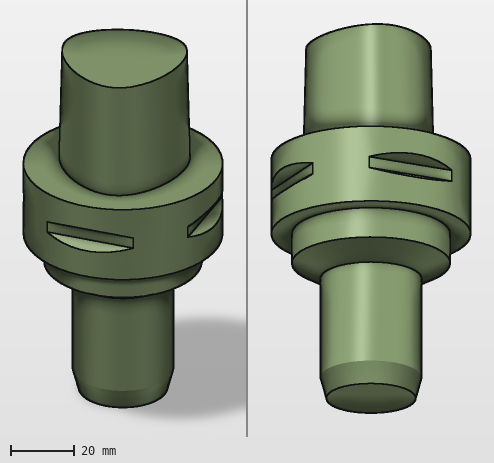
import cadquery as cq
import math

NOSE_CHAMFER_HEIGHT = 7.0
NECK_TOP = 40.0
FLANGE_BOTTOM = 55.0
FLANGE_TOP = 80.0
SHANK_HEIGHT = 38.0

NECK_DIAMETER = 32.0
COLLAR_DIAMETER = 50.0
FLANGE_DIAMETER = 63.0

NOSE_CHAMFER_ANGLE = 15.0
COLLAR_CONE_ANGLE = 30.0

SHANK_BASE_RADIUS = 20.6
SHANK_TAPER = 1 / 20
LOBE_AMPLITUDE = 1.7
LOBE_FLATTENING = 0.3
SHANK_POINT_COUNT = 48

GROOVE_COUNT = 4
GROOVE_FIRST_ANGLE = 45.0
GROOVE_FLOOR_DISTANCE = 27.9
GROOVE_FLOOR_WIDTH = 3.6
GROOVE_FLANK_ANGLE = 30.0
GROOVE_BELOW_FLANGE_TOP = 12.0
GROOVE_OVERCUT = 2.0


def make_body():
    """Revolved nose, neck, collar and flange."""
    neck_radius = NECK_DIAMETER / 2
    collar_radius = COLLAR_DIAMETER / 2
    flange_radius = FLANGE_DIAMETER / 2
    nose_radius = neck_radius - NOSE_CHAMFER_HEIGHT * math.tan(math.radians(NOSE_CHAMFER_ANGLE))
    cone_height = (collar_radius - neck_radius) * math.tan(math.radians(COLLAR_CONE_ANGLE))
    profile = [
        (0, 0),
        (nose_radius, 0),
        (neck_radius, NOSE_CHAMFER_HEIGHT),
        (neck_radius, NECK_TOP),
        (collar_radius, NECK_TOP + cone_height),
        (collar_radius, FLANGE_BOTTOM),
        (flange_radius, FLANGE_BOTTOM),
        (flange_radius, FLANGE_TOP),
        (0, FLANGE_TOP),
    ]
    return cq.Workplane("XZ").polyline(profile).close().revolve(360, (0, 0), (0, 1))


def shank_section(mean_radius, z):
    """Closed three-lobed curve at height z, with its seam on the -Y side."""

    def point(angle):
        x = (
            mean_radius * math.sin(angle)
            - LOBE_AMPLITUDE * math.sin(2 * angle)
            - LOBE_FLATTENING * math.sin(4 * angle)
        )
        y = (
            mean_radius * math.cos(angle)
            + LOBE_AMPLITUDE * math.cos(2 * angle)
            - LOBE_FLATTENING * math.cos(4 * angle)
        )
        return cq.Vector(x, y, z)

    step = 2 * math.pi / SHANK_POINT_COUNT
    points = [point(math.pi + i * step) for i in range(SHANK_POINT_COUNT)]
    return cq.Wire.assembleEdges([cq.Edge.makeSpline(points, periodic=True)])


def make_shank():
    """Tapered three-lobed shank standing on the flange."""
    top_radius = SHANK_BASE_RADIUS - SHANK_HEIGHT * SHANK_TAPER / 2
    base = shank_section(SHANK_BASE_RADIUS, FLANGE_TOP)
    top = shank_section(top_radius, FLANGE_TOP + SHANK_HEIGHT)
    return cq.Workplane(obj=cq.Solid.makeLoft([base, top], True))


def make_groove_cutter():
    """Trapezoidal bar along Y that cuts the groove on the +X side."""
    outer_distance = FLANGE_DIAMETER / 2 + GROOVE_OVERCUT
    depth = outer_distance - GROOVE_FLOOR_DISTANCE
    floor_half = GROOVE_FLOOR_WIDTH / 2
    mouth_half = floor_half + depth * math.tan(math.radians(GROOVE_FLANK_ANGLE))
    groove_z = FLANGE_TOP - GROOVE_BELOW_FLANGE_TOP
    section = [
        (GROOVE_FLOOR_DISTANCE, groove_z - floor_half),
        (outer_distance, groove_z - mouth_half),
        (outer_distance, groove_z + mouth_half),
        (GROOVE_FLOOR_DISTANCE, groove_z + floor_half),
    ]
    return cq.Workplane("XZ").polyline(section).close().extrude(FLANGE_DIAMETER / 2, both=True)


result = make_body().union(make_shank())

groove_cutter = make_groove_cutter()
for i in range(GROOVE_COUNT):
    groove_angle = GROOVE_FIRST_ANGLE + i * 360 / GROOVE_COUNT
    result = result.cut(groove_cutter.rotate((0, 0, 0), (0, 0, 1), groove_angle))